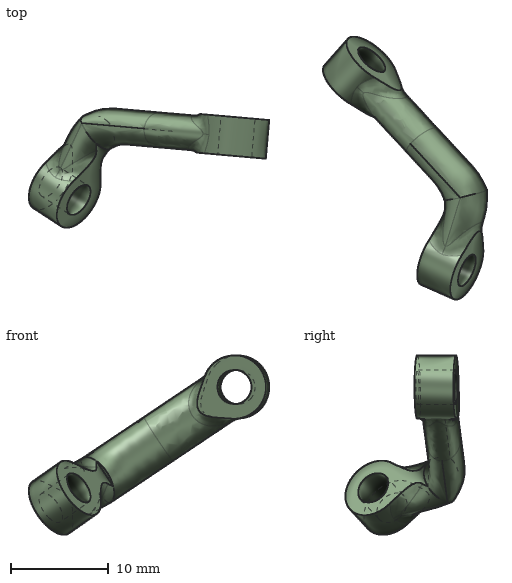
import cadquery as cq
import math

EYE_DIAMETER = 6.5
EYE_THICKNESS = 4.0
HOLE_DIAMETER = 3.5
EYE_FILLET = 2.0

ROD_THICKNESS = 3.6
ROD_HEIGHT = 5.4

LONG_ARM = 17.32
SHORT_ARM = 7.73
BEND_ANGLE = 66
INNER_BEND_RADIUS = 4.0
OUTER_BEND_RADIUS = 5.0

CLIMB_ANGLE = 33.7
SWING_ANGLE = -5.0

BEND_STEPS = 6
STRAIGHT_STEPS = 12

HALF_THICKNESS = ROD_THICKNESS / 2
HALF_HEIGHT = ROD_HEIGHT / 2
EYE_RADIUS = EYE_DIAMETER / 2
HALF_BEND = math.radians(BEND_ANGLE / 2)
SHORT_ARM_HEADING = BEND_ANGLE - 180

OUTER_TANGENT = (OUTER_BEND_RADIUS - HALF_THICKNESS) * math.tan(HALF_BEND)
INNER_TANGENT = (INNER_BEND_RADIUS + HALF_THICKNESS) * math.tan(HALF_BEND)


def rod_section(outer, inner):
    """Vertical section between two side points: two half ellipses that meet on the ridges."""
    across = (inner - outer).normalized()
    ridge = outer + across * (outer.y / -across.y)
    up = cq.Vector(0, 0, 1)
    normal = up.cross(across)
    inner_half = cq.Edge.makeEllipse(
        HALF_HEIGHT, (inner - ridge).Length, ridge, normal, up, 0, 180
    )
    outer_half = cq.Edge.makeEllipse(
        HALF_HEIGHT, (outer - ridge).Length, ridge, normal, up, 180, 360
    )
    return cq.Wire.assembleEdges([inner_half, outer_half])


def half_bend():
    """Rod along +X, from the mitre plane of a bend towards -Y to the length of the short arm."""
    outer_centre = cq.Vector(OUTER_TANGENT, HALF_THICKNESS - OUTER_BEND_RADIUS)
    inner_centre = cq.Vector(INNER_TANGENT, -HALF_THICKNESS - INNER_BEND_RADIUS)
    sections = []
    for step in range(BEND_STEPS + 1):
        angle = HALF_BEND * (1 - step / BEND_STEPS)
        spoke = cq.Vector(-math.sin(angle), math.cos(angle))
        outer = outer_centre + spoke * OUTER_BEND_RADIUS
        inner = inner_centre + spoke * INNER_BEND_RADIUS
        sections.append(rod_section(outer, inner))
    for step in range(1, STRAIGHT_STEPS + 1):
        share = step / STRAIGHT_STEPS
        outer_x = OUTER_TANGENT + (SHORT_ARM - OUTER_TANGENT) * share
        inner_x = INNER_TANGENT + (SHORT_ARM - INNER_TANGENT) * share
        outer = cq.Vector(outer_x, HALF_THICKNESS)
        inner = cq.Vector(inner_x, -HALF_THICKNESS)
        sections.append(rod_section(outer, inner))
    return cq.Workplane(cq.Solid.makeLoft(sections))


def filleted_eye(rod, length):
    """Add an eye, whose axis lies along Y, to the end of a rod and blend the rod into it."""
    eye_axis = cq.Workplane("XZ", origin=(length, 0, 0))
    over_thick = eye_axis.circle(EYE_RADIUS).extrude(EYE_THICKNESS, both=True)
    joint = cq.selectors.BoxSelector(
        (length - EYE_RADIUS, -ROD_THICKNESS, -HALF_HEIGHT / 2),
        (length - HALF_THICKNESS, ROD_THICKNESS, HALF_HEIGHT / 2),
    )
    blended = rod.union(over_thick).edges(joint).fillet(EYE_FILLET)
    waste = cq.Workplane("XY").box(2 * EYE_DIAMETER, EYE_THICKNESS, 2 * EYE_DIAMETER)
    for side in (1, -1):
        blended = blended.cut(waste.translate((length, side * EYE_THICKNESS, 0)))
    hole = eye_axis.circle(HOLE_DIAMETER / 2).extrude(EYE_THICKNESS, both=True)
    return blended.cut(hole)


def long_arm():
    """Bend half continued straight to the eye at the far end."""
    straight = cq.Workplane("YZ", origin=(SHORT_ARM, 0, 0)).ellipse(HALF_THICKNESS, HALF_HEIGHT)
    straight = straight.extrude(LONG_ARM - SHORT_ARM)
    return half_bend().union(filleted_eye(straight, LONG_ARM))


def short_arm():
    """Bend half with its eye, mirrored and turned onto the other side of the mitre plane."""
    arm = filleted_eye(half_bend(), SHORT_ARM)
    return arm.mirror("XZ").rotate((0, 0, 0), (0, 0, 1), SHORT_ARM_HEADING)


def lever():
    """Both arms joined at the bend and tilted to their final attitude."""
    bent = long_arm().union(short_arm())
    climbed = bent.rotate((0, 0, 0), (0, 1, 0), -CLIMB_ANGLE)
    return climbed.rotate((0, 0, 0), (0, 0, 1), SWING_ANGLE)


result = lever()